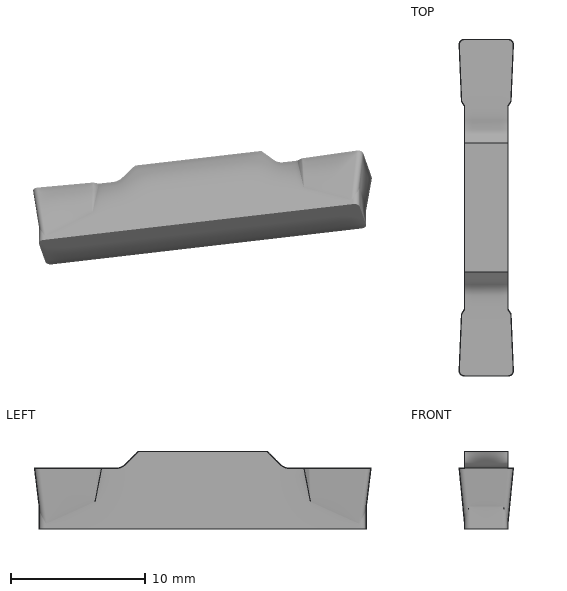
import cadquery as cq
import math


BAR_WIDTH = 3.24
BAR_LENGTH = 24.37
BAR_CORNER_RADIUS = 0.42
HEIGHT = 5.79

LAND_HEIGHT = 4.53
CROWN_LENGTH = 9.6
RAMP_RUN = HEIGHT - LAND_HEIGHT
RAMP_ROOT_RADIUS = 1.0

OVERALL_LENGTH = 25.07
HEAD_WIDTH = 4.05
TIP_CORNER_RADIUS = 0.4
SHOULDER_DISTANCE = 4.6
SHOULDER_RADIUS = 0.2
HEAD_ROOT_HALF_WIDTH = BAR_WIDTH / 4
SIDE_TAPER = math.radians(2.4)
SIDE_RELIEF = math.radians(5.3)
TIP_RELIEF = math.radians(7.0)
SHOULDER_RELIEF = math.radians(2.0)
SHOULDER_ANGLE = math.radians(30.0)


def make_bar():
    """Bar with a raised crown, ramps with rounded roots and rounded upright corners."""
    half_crown = CROWN_LENGTH / 2
    half_length = BAR_LENGTH / 2
    ramp_foot = half_crown + RAMP_RUN
    profile = [
        (-half_length, 0),
        (half_length, 0),
        (half_length, LAND_HEIGHT),
        (ramp_foot, LAND_HEIGHT),
        (half_crown, HEIGHT),
        (-half_crown, HEIGHT),
        (-ramp_foot, LAND_HEIGHT),
        (-half_length, LAND_HEIGHT),
    ]
    bar = cq.Workplane("YZ").polyline(profile).close().extrude(BAR_WIDTH / 2, both=True)
    bar = bar.edges("|Z").fillet(BAR_CORNER_RADIUS)
    for side in (-1, 1):
        foot_edge = cq.NearestToPointSelector((0, side * ramp_foot, LAND_HEIGHT))
        bar = bar.edges(foot_edge).fillet(RAMP_ROOT_RADIUS)
    return bar


def head_outline(depth):
    """Corners of the head outline in XY, at a depth below the land height."""
    tip_y = OVERALL_LENGTH / 2 - depth * math.tan(TIP_RELIEF)
    shoulder_y = OVERALL_LENGTH / 2 - SHOULDER_DISTANCE + depth * math.tan(SHOULDER_RELIEF)
    widest_y = OVERALL_LENGTH / 2 - TIP_CORNER_RADIUS

    def side_x(y):
        narrowing = (widest_y - y) * math.tan(SIDE_TAPER)
        return HEAD_WIDTH / 2 - narrowing - depth * math.tan(SIDE_RELIEF)

    tip_x = side_x(tip_y)
    shoulder_x = side_x(shoulder_y)
    rear_x = HEAD_ROOT_HALF_WIDTH
    rear_y = shoulder_y - (shoulder_x - rear_x) / math.tan(SHOULDER_ANGLE)
    right_side = [(rear_x, rear_y), (shoulder_x, shoulder_y), (tip_x, tip_y)]
    left_side = [(-x, y) for x, y in reversed(right_side)]
    return right_side + left_side


def planar_face(points):
    return cq.Face.makeFromWires(cq.Wire.makePolygon(points, close=True))


def make_head():
    """Head at the +Y end: flat relieved faces between two outlines, with rounded side edges."""
    lower = [cq.Vector(x, y, 0) for x, y in head_outline(LAND_HEIGHT)]
    upper = [cq.Vector(x, y, LAND_HEIGHT) for x, y in head_outline(0)]
    faces = [planar_face(lower), planar_face(upper)]
    for i in range(len(lower)):
        faces.append(planar_face([lower[i - 1], lower[i], upper[i], upper[i - 1]]))
    head = cq.Workplane(cq.Solid.makeSolid(cq.Shell.makeShell(faces)))
    head = head.edges("not #Z").edges(">>Y[-2]").fillet(SHOULDER_RADIUS)
    return head.edges("not #Z").edges(">>Y").fillet(TIP_CORNER_RADIUS)


head = make_head()
result = make_bar().union(head).union(head.mirror("XZ")).clean()